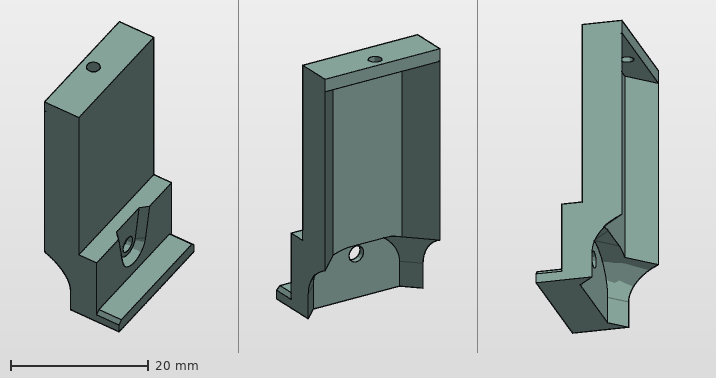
import cadquery as cq
import math

width = 20.0
half_width = width / 2
height = 40.0

plate_thickness = 6.0
base_front = 9.1
base_height = 12.0
flange_front = 13.0
flange_thickness = 2.0
flange_chamfer = 0.6

trough_depth = 4.0
cap_thickness = 2.0

arch_depth = 7.0
arch_side_depth = 4.5
arch_half_width = half_width - (arch_depth - arch_side_depth)
arch_spring_height = 4.0
arch_top = 10.0
arch_fullness = 0.5

cap_hole_diameter = 2.0
cap_hole_x = 2.0
screw_diameter = 2.5
screw_height = 7.0

pocket_floor_x = 8.0
pocket_radius = 2.0
pocket_flank_angle = math.radians(11)
pocket_flare = base_front - pocket_floor_x


def make_body():
    plate = cq.Workplane("XY").box(plate_thickness, width, height, centered=(False, True, False))
    base = cq.Workplane("XY").box(base_front, width, base_height, centered=(False, True, False))
    flange = (
        cq.Workplane("XY")
        .box(flange_front, width, flange_thickness, centered=(False, True, False))
        .edges("|X and >Z")
        .chamfer(flange_chamfer)
    )
    return plate.union(base).union(flange)


def make_trough():
    floor_half_width = half_width - trough_depth
    outline = [
        (0, -half_width),
        (trough_depth, -floor_half_width),
        (trough_depth, floor_half_width),
        (0, half_width),
    ]
    trough_height = height - cap_thickness - arch_spring_height
    return cq.Workplane("XY", origin=(0, 0, arch_spring_height)).polyline(outline).close().extrude(trough_height)


def make_arch_half(side):
    """Half-arch outline on one side face (side is +1 or -1), swept at 45 degrees to the middle."""
    crown_x = arch_side_depth - arch_half_width
    rear_x = crown_x - arch_half_width
    rise = arch_top - arch_spring_height
    crown_handle = (crown_x + arch_fullness * arch_half_width, arch_top)
    foot_handle = (arch_side_depth, arch_spring_height + arch_fullness * rise)
    outline = (
        cq.Workplane("XZ", origin=(0, side * half_width, 0))
        .moveTo(rear_x, 0)
        .lineTo(rear_x, arch_top)
        .lineTo(crown_x, arch_top)
        .bezier([(crown_x, arch_top), crown_handle, foot_handle, (arch_side_depth, arch_spring_height)])
        .lineTo(arch_side_depth, 0)
        .close()
        .wire()
        .val()
    )
    sweep = cq.Vector(half_width, -side * half_width, 0)
    return cq.Workplane(cq.Solid.extrudeLinear(outline, [], sweep))


def make_arch_recess():
    limit = cq.Workplane("XY").box(arch_depth, width, arch_top, centered=(False, True, False))
    return make_arch_half(1).union(make_arch_half(-1)).intersect(limit)


def pocket_section(x, radius):
    """Pocket outline on a plane of constant X: a round bottom with flanks leaning out tangent to it."""
    lean_sin = math.sin(pocket_flank_angle)
    lean_cos = math.cos(pocket_flank_angle)
    tangent_y = radius * lean_cos
    tangent_z = screw_height - radius * lean_sin
    top_half_width = (radius + (base_height - screw_height) * lean_sin) / lean_cos
    return (
        cq.Workplane("YZ", origin=(x, 0, 0))
        .moveTo(-top_half_width, base_height)
        .lineTo(-tangent_y, tangent_z)
        .threePointArc((0, screw_height - radius), (tangent_y, tangent_z))
        .lineTo(top_half_width, base_height)
        .close()
        .wire()
        .val()
    )


def make_pocket():
    floor = pocket_section(pocket_floor_x, pocket_radius)
    mouth = pocket_section(base_front, pocket_radius + pocket_flare)
    return cq.Workplane(cq.Solid.makeLoft([floor, mouth], True))


def make_cap_hole():
    start = (cap_hole_x, 0, height - cap_thickness)
    return cq.Workplane("XY", origin=start).circle(cap_hole_diameter / 2).extrude(cap_thickness)


def make_screw_hole():
    start = (0, 0, screw_height)
    return cq.Workplane("YZ", origin=start).circle(screw_diameter / 2).extrude(base_front)


result = (
    make_body()
    .cut(make_trough())
    .cut(make_arch_recess())
    .cut(make_pocket())
    .cut(make_cap_hole())
    .cut(make_screw_hole())
)